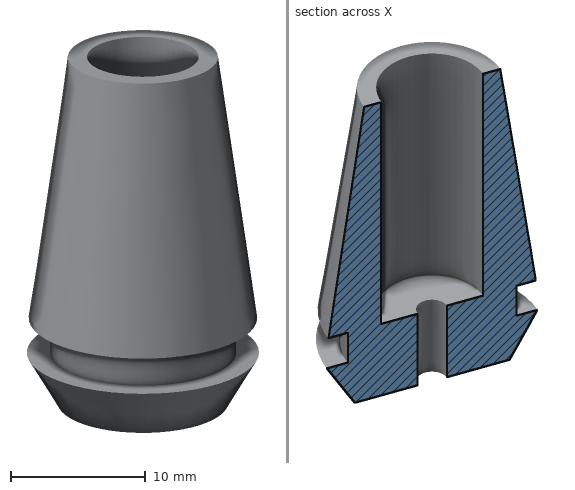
import cadquery as cq
import math

height = 27.5
flange_radius = 8.64
flange_height = 4.0
flange_angle = 30.0
groove_radius = 6.93
groove_width = 2.75
cone_top_radius = 5.58
cone_angle = 8.0
bore_radius = 4.15
hole_radius = 1.18

cone_base = flange_height + groove_width
cone_height = height - cone_base
cone_base_radius = cone_top_radius + cone_height * math.tan(math.radians(cone_angle))
nose_radius = flange_radius - flange_height * math.tan(math.radians(flange_angle))
bore_depth = cone_height


def collet_body():
    """Solid of revolution: tapered nose flange, groove and long cone."""
    outline = [
        (0, 0),
        (nose_radius, 0),
        (flange_radius, flange_height),
        (groove_radius, flange_height),
        (groove_radius, cone_base),
        (cone_base_radius, cone_base),
        (cone_top_radius, height),
        (0, height),
    ]
    return cq.Workplane("XZ").polyline(outline).close().revolve(360, (0, 0, 0), (0, 1, 0))


def stepped_hole():
    """Wide blind bore from the top with a small hole through its floor."""
    bore = cq.Workplane("XY").workplane(offset=height).circle(bore_radius).extrude(-bore_depth)
    hole = cq.Workplane("XY").circle(hole_radius).extrude(height)
    return bore.union(hole)


result = collet_body().cut(stepped_hole())